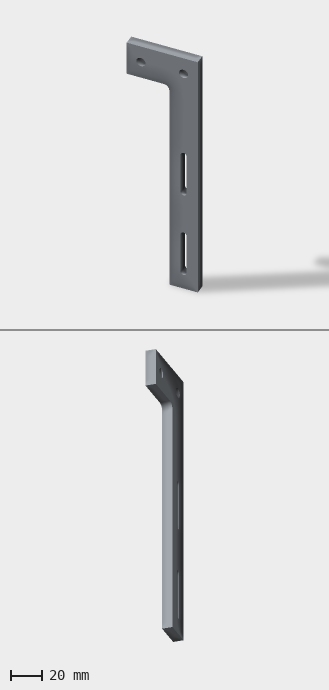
import cadquery as cq

height = 185.0
head_width = 50.0
thickness = 7.0

stem_width = 20.0
head_height = 25.0
corner_radius = 4.0

hole_diameter = 6.5
hole_edge_distance = stem_width / 2

slot_width = 4.0
slot_length = 34.0
lower_slot_center = 28.0
slot_spacing = 64.0

stem_left = head_width - stem_width
stem_center = head_width - stem_width / 2
head_bottom = height - head_height
hole_level = height - head_height / 2


def make_plate():
    """Plate from Y = 0 to Y = thickness with a rounded inner corner."""
    return (
        cq.Workplane("XZ")
        .moveTo(stem_left, 0)
        .lineTo(head_width, 0)
        .lineTo(head_width, height)
        .lineTo(0, height)
        .lineTo(0, head_bottom)
        .lineTo(stem_left - corner_radius, head_bottom)
        .radiusArc((stem_left, head_bottom - corner_radius), corner_radius)
        .close()
        .extrude(-thickness)
    )


def make_holes():
    centers = [(hole_edge_distance, hole_level), (stem_center, hole_level)]
    return cq.Workplane("XZ").pushPoints(centers).circle(hole_diameter / 2).extrude(-thickness)


def make_slots():
    centers = [(stem_center, lower_slot_center + i * slot_spacing) for i in range(2)]
    return cq.Workplane("XZ").pushPoints(centers).slot2D(slot_length, slot_width, 90).extrude(-thickness)


result = make_plate().cut(make_holes()).cut(make_slots())